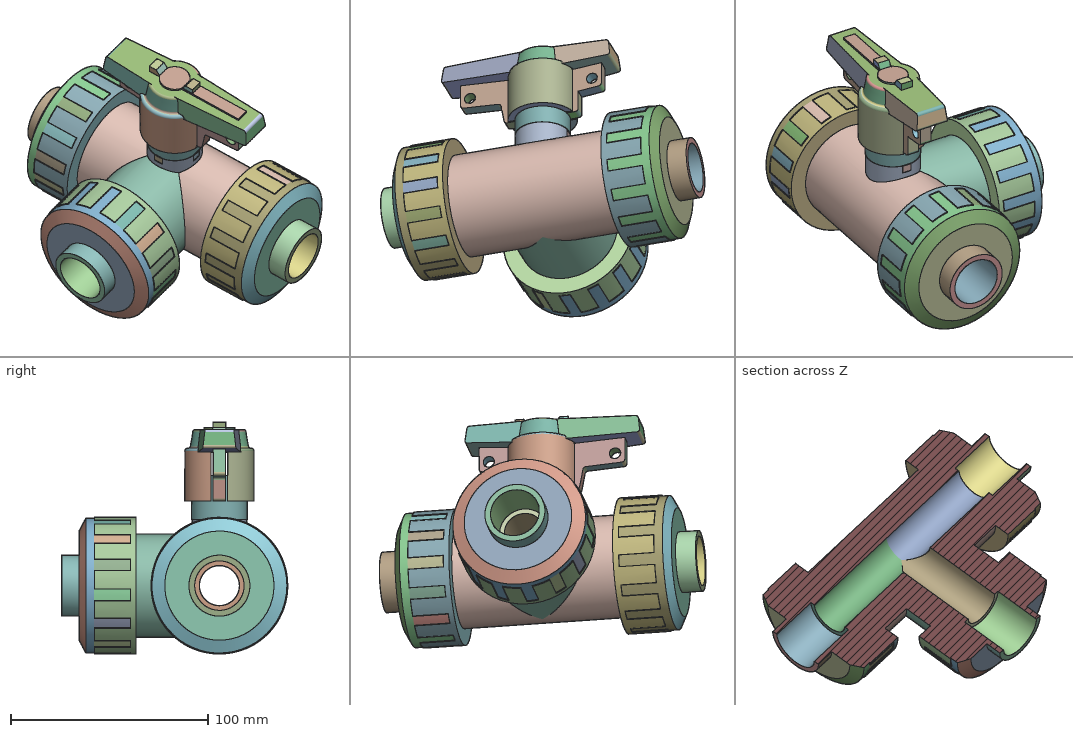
import cadquery as cq
import math


run_reach = 81.5
branch_reach = 80.0
body_radius = 26.2
pipe_radius = 15.5
socket_radius = 12.5
bore_radius = 10.1
socket_depth = 26.0
port_reaches = {0: run_reach, 180: run_reach, -90: branch_reach}

nut_radius = 34.7
nut_collar_radius = 34.2
nut_face_radius = 27.7
nut_start = 42.2
groove_start = 45.2
collar_start = 63.4
nut_bevel_start = 67.8
nut_end = 71.2
groove_count = 14
groove_angle = 10.0

stem_radius = 14.2
stem_foot_radius = 14.0
stem_top = 55.9
window_top = 33.5
window_width = 4.9
window_height = 4.2
window_depth = 0.3

boss_radius = 17.6
boss_bottom = 42.9
boss_top = 69.8
boss_rounding = 1.5
boss_slot_width = 8.3
boss_slot_top = 69.0
cone_base_radius = 15.0
cone_top_radius = 13.4
cone_rounding = 1.3
cone_foot_rounding = 1.0

bar_left = -39.0
bar_right = 51.8
bar_half_width = 11.7
bar_narrowing = 0.06
bar_base = 67.6
bar_end_base = 69.8
bar_flat_reach = 13.0
bar_top = 79.2
bar_draft = 7.0
bar_end_rounding = 1.6
bar_tip_rounding = 1.3

web_thickness = 6.4
web_left = -32.3
web_right = 42.9
web_end_bottom = 55.9
web_inner_bottom = 54.6
foot_left = -19.9
foot_right = 19.4
foot_right_top = 21.5
web_rounding = 1.6
lock_hole_diameter = 5.7
lock_hole_inset = 5.0
lock_hole_height = 61.0

mark_top = 80.2
disc_radius = 7.8
strip_width = 6.8
tab_width = 6.5
tab_outer = 13.7
tab_crest = 9.3
tab_inner = 7.2
tab_top = 83.0


def cylinder(radius, bottom, top):
    """Cylinder standing on the Z axis between two heights."""
    return cq.Workplane("XY").workplane(offset=bottom).circle(radius).extrude(top - bottom)


def x_cylinder(radius, start, end):
    """Cylinder on the X axis between two distances from the centre."""
    return cq.Workplane("YZ").workplane(offset=start).circle(radius).extrude(end - start)


def x_box(x_start, x_end, width, bottom, top):
    """Box centred on the XZ plane."""
    box = cq.Workplane("XY").box(x_end - x_start, width, top - bottom, centered=(False, True, False))
    return box.translate((x_start, 0, bottom))


def union_nut():
    """Grooved nut on the +X axis."""
    profile = [
        (nut_start, 0),
        (nut_start, nut_radius),
        (collar_start, nut_radius),
        (collar_start, nut_collar_radius),
        (nut_bevel_start, nut_collar_radius),
        (nut_end, nut_face_radius),
        (nut_end, 0),
    ]
    nut = cq.Workplane("XY").polyline(profile).close().revolve(360, (0, 0, 0), (1, 0, 0))

    side = math.radians(groove_angle)
    reach = 2 * nut_radius
    sector = [(0, 0), (0, reach), (-reach * math.sin(side), reach * math.cos(side))]
    groove = cq.Workplane("YZ").workplane(offset=groove_start).polyline(sector).close()
    groove = groove.extrude(collar_start - groove_start)
    groove = groove.cut(x_cylinder(nut_collar_radius, groove_start, collar_start))
    for index in range(groove_count):
        angle = index * 360 / groove_count
        nut = nut.cut(groove.rotate((0, 0, 0), (1, 0, 0), angle))
    return nut


def port(reach):
    """Body tube, nut and pipe end on the +X axis."""
    tube = x_cylinder(body_radius, 0, nut_start)
    pipe = x_cylinder(pipe_radius, 0, reach)
    return tube.union(union_nut()).union(pipe)


def port_bore(reach):
    """Through bore with the pipe socket on the +X axis."""
    socket = x_cylinder(socket_radius, reach - socket_depth, reach)
    return x_cylinder(bore_radius, 0, reach).union(socket)


def stem():
    """Round stem with a shallow window facing each port."""
    foot = cylinder(stem_foot_radius, 0, window_top)
    post = foot.union(cylinder(stem_radius, window_top, stem_top))
    for angle in port_reaches:
        window = x_box(stem_foot_radius - window_depth, stem_radius, window_width,
                       window_top - window_height, window_top)
        post = post.cut(window.rotate((0, 0, 0), (0, 0, 1), angle))
    return post


def boss():
    """Boss split by a slot along X, with the cone above it."""
    sleeve = cylinder(boss_radius, boss_bottom, boss_top).faces(">Z").edges().fillet(boss_rounding)
    cone_profile = [(0, boss_top), (cone_base_radius, boss_top), (cone_top_radius, bar_top), (0, bar_top)]
    cone = cq.Workplane("XZ").polyline(cone_profile).close().revolve(360, (0, 0, 0), (0, 1, 0))
    cone = cone.faces(">Z").edges().fillet(cone_rounding)
    cone_foot = cq.selectors.NearestToPointSelector((0, 0, boss_top))
    body = sleeve.union(cone).edges("%CIRCLE").edges(cone_foot).fillet(cone_foot_rounding)
    return body.cut(x_box(-boss_radius, boss_radius, boss_slot_width, boss_bottom, boss_slot_top))


def handle_bar():
    """Drafted bar, widest over the stem, with its underside rising to the ends."""
    left_half_width = bar_half_width + bar_narrowing * bar_left
    right_half_width = bar_half_width - bar_narrowing * bar_right
    plan = [
        (bar_left, -left_half_width),
        (0, -bar_half_width),
        (bar_right, -right_half_width),
        (bar_right, right_half_width),
        (0, bar_half_width),
        (bar_left, left_half_width),
    ]
    bar = cq.Workplane("XY").workplane(offset=bar_base).polyline(plan).close()
    bar = bar.extrude(bar_top - bar_base, taper=bar_draft)
    bar = bar.faces(">Z").edges("|Y").fillet(bar_end_rounding)
    for end in (bar_left, bar_right):
        start = math.copysign(bar_flat_reach, end)
        wedge = [(start, bar_base), (end, bar_base), (end, bar_end_base)]
        bar = bar.cut(cq.Workplane("XZ").polyline(wedge).close().extrude(bar_half_width, both=True))
    for end in (bar_left, bar_right):
        tip = cq.selectors.NearestToPointSelector((end, 0, bar_end_base))
        bar = bar.edges("|Y").edges(tip).fillet(bar_tip_rounding)
    return bar


def handle_web():
    """Plate below the bar with a lock hole at each end and a foot beside the stem."""
    outline = [
        (web_left, bar_end_base),
        (web_left, web_end_bottom),
        (foot_left, web_inner_bottom),
        (foot_left, boss_bottom),
        (foot_right, boss_bottom),
        (foot_right_top, web_inner_bottom),
        (web_right, web_end_bottom),
        (web_right, bar_end_base),
    ]
    web = cq.Workplane("XZ").polyline(outline).close().extrude(web_thickness / 2, both=True)
    rounded_corners = [
        (web_left, web_end_bottom),
        (foot_left, boss_bottom),
        (foot_right, boss_bottom),
        (foot_right_top, web_inner_bottom),
        (web_right, web_end_bottom),
    ]
    for x, z in rounded_corners:
        web = web.edges(cq.selectors.NearestToPointSelector((x, 0, z))).fillet(web_rounding)
    hole_places = [
        (web_left + lock_hole_inset, lock_hole_height),
        (web_right - lock_hole_inset, lock_hole_height),
    ]
    holes = cq.Workplane("XZ").pushPoints(hole_places).circle(lock_hole_diameter / 2)
    return web.cut(holes.extrude(web_thickness, both=True))


def handle_marks():
    """Centre disc, pointer strip and two bevelled tabs on top of the bar."""
    disc = cylinder(disc_radius, boss_top, mark_top)
    strip = x_box(0, web_right, strip_width, boss_top, mark_top)
    marks = disc.union(strip)
    for side in (-1, 1):
        profile = [
            (side * tab_outer, boss_top),
            (side * tab_outer, tab_top),
            (side * tab_crest, tab_top),
            (side * tab_inner, mark_top),
            (side * tab_inner, boss_top),
        ]
        tab = cq.Workplane("XZ").polyline(profile).close().extrude(tab_width / 2, both=True)
        marks = marks.union(tab)
    return marks


result = stem()
for angle, reach in port_reaches.items():
    result = result.union(port(reach).rotate((0, 0, 0), (0, 0, 1), angle))
for angle, reach in port_reaches.items():
    result = result.cut(port_bore(reach).rotate((0, 0, 0), (0, 0, 1), angle))

handle = boss().union(handle_bar()).union(handle_web()).union(handle_marks())
result = result.union(handle)